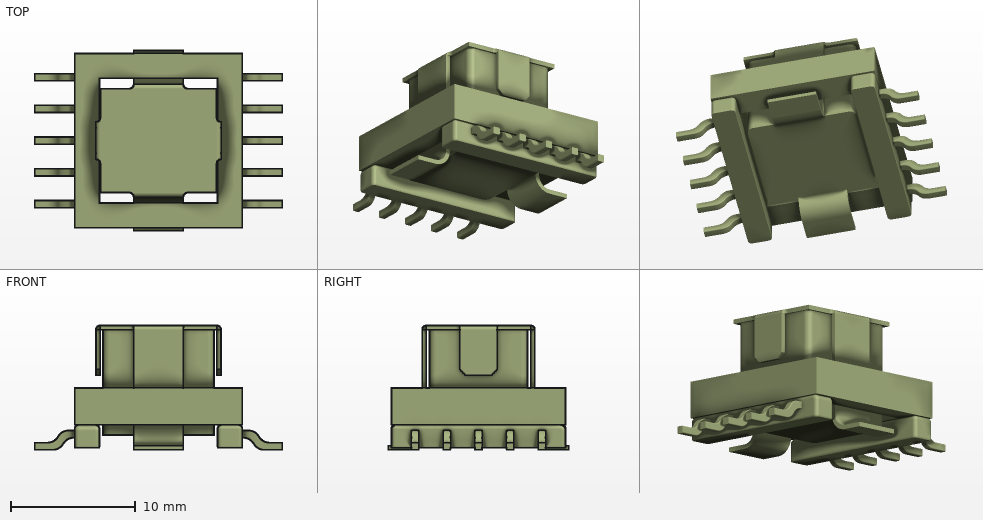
import cadquery as cq
import math

frame_x = 13.5
frame_y = 14.0
frame_wall = 2.0
frame_bottom = 2.0
frame_top = 5.0

rail_width = 2.0
rail_bottom = 0.15
rail_edge_radius = 0.32
rail_end_radius = 0.44

pin_span = 19.9
pin_size = 0.6
pin_edge_radius = 0.08
pin_pitch = 2.55
pins_per_side = 5
pin_foot_length = 1.03
pin_bend_radius = 0.98
pin_bend_angle = math.radians(60)
pin_bend_shift = 0.42

core_x = 8.94
core_y = 7.88
core_bottom = 1.2
core_corner_radius = 0.52

sheet = 0.35
clip_top = 10.0
cap_x = 9.35
cap_y = 8.35
root_radius = 0.35

tab_width = 3.0
tab_bottom = 5.99
tab_chamfer = 0.48

leg_width = 4.0
leg_inner_bend = 1.03
foot_span = 14.5

cap_bottom = clip_top - sheet


def box(x_size, y_size, z_low, z_high):
    """Box centred on the Z axis between two heights."""
    return cq.Workplane("XY").workplane(offset=z_low).rect(x_size, y_size).extrude(z_high - z_low)


def turned(shape, angle):
    return shape.rotate((0, 0, 0), (0, 0, 1), angle)


def make_frame():
    opening = box(frame_x - 2 * frame_wall, frame_y - 2 * frame_wall, frame_bottom, frame_top)
    return box(frame_x, frame_y, frame_bottom, frame_top).cut(opening)


def make_rail():
    """Rail under the -X side of the frame; its flat base cuts through the lower edge rounding."""
    rail = box(rail_width, frame_y, 0, frame_bottom)
    rail = rail.faces(">Z").edges("<Y").fillet(rail_end_radius)
    rail = rail.edges("|Y or |Z or >Y or <Z or %CIRCLE").fillet(rail_edge_radius)
    base = box(rail_width, frame_y, 0, rail_bottom)
    return rail.cut(base).translate(((rail_width - frame_x) / 2, 0, 0))


def make_pin():
    """Gull-wing pin on the +X side, in the plane Y = 0, rooted inside the rail."""
    bend_run = pin_bend_radius * math.sin(pin_bend_angle)
    bend_drop = pin_bend_radius * (1 - math.cos(pin_bend_angle))
    root_x = (frame_x - rail_width) / 2
    tip_x = pin_span / 2
    bend_end = tip_x - pin_foot_length
    bend_middle = bend_end - bend_run
    bend_start = bend_middle - bend_run
    root_z = 2 * bend_drop
    pin = (
        cq.Workplane("XZ")
        .moveTo(root_x, root_z + pin_size)
        .lineTo(bend_start, root_z + pin_size)
        .radiusArc((bend_middle, bend_drop + pin_size), pin_bend_radius)
        .radiusArc((bend_end, pin_size), -pin_bend_radius)
        .lineTo(tip_x, pin_size)
        .lineTo(tip_x, 0)
        .lineTo(bend_end - pin_bend_shift, 0)
        .radiusArc((bend_middle - pin_bend_shift, bend_drop), pin_bend_radius)
        .radiusArc((bend_start - pin_bend_shift, root_z), -pin_bend_radius)
        .lineTo(root_x, root_z)
        .close()
        .extrude(pin_size / 2, both=True)
    )
    return pin.faces("<Y or >Y").edges("not |Z").fillet(pin_edge_radius)


def make_bobbin():
    bobbin = make_frame()
    pin = make_pin()
    for half_turn in (0, 180):
        bobbin = bobbin.union(turned(make_rail(), half_turn))
        side_pin = turned(pin, half_turn)
        for index in range(pins_per_side):
            y = (index - (pins_per_side - 1) / 2) * pin_pitch
            bobbin = bobbin.union(side_pin.translate((0, y, 0)))
    return bobbin


def make_core():
    core = box(core_x, core_y, core_bottom, cap_bottom)
    return core.edges("|Z").fillet(core_corner_radius)


def strip(profile, width):
    """Extrude a profile drawn in XZ symmetrically along Y."""
    return profile.extrude(width / 2, both=True)


def make_bend(width, edge):
    """Rounded bend from the cap edge at X = edge, flared where it joins the cap."""
    half = width / 2
    flare = half + root_radius
    profile = (
        cq.Workplane("XZ")
        .moveTo(edge, cap_bottom)
        .lineTo(edge + sheet, cap_bottom)
        .radiusArc((edge, clip_top), -sheet)
        .close()
    )
    outline = (
        cq.Workplane("XY")
        .workplane(offset=cap_bottom)
        .moveTo(edge, -flare)
        .radiusArc((edge + root_radius, -half), root_radius)
        .lineTo(edge + root_radius, half)
        .radiusArc((edge, flare), root_radius)
        .close()
        .extrude(sheet)
    )
    return strip(profile, 2 * flare).intersect(outline)


def make_tab():
    """Short tab with clipped corners, hanging on the +X side."""
    edge = cap_x / 2
    tab = (
        cq.Workplane("XY")
        .box(sheet, tab_width, cap_bottom - tab_bottom, centered=(False, True, False))
        .translate((edge, 0, tab_bottom))
        .faces("<Z")
        .edges("|X")
        .chamfer(tab_chamfer)
    )
    return tab.union(make_bend(tab_width, edge))


def make_leg():
    """Long leg with an outward foot, drawn on the +X side."""
    edge = cap_y / 2
    face = edge + sheet
    outer_bend = leg_inner_bend + sheet
    profile = (
        cq.Workplane("XZ")
        .moveTo(edge, cap_bottom)
        .lineTo(face, cap_bottom)
        .lineTo(face, outer_bend)
        .radiusArc((face + leg_inner_bend, sheet), -leg_inner_bend)
        .lineTo(foot_span / 2, sheet)
        .lineTo(foot_span / 2, 0)
        .lineTo(edge + outer_bend, 0)
        .radiusArc((edge, outer_bend), outer_bend)
        .close()
    )
    return strip(profile, leg_width).union(make_bend(leg_width, edge))


def make_clip():
    clip = box(cap_x, cap_y, cap_bottom, clip_top)
    for half_turn in (0, 180):
        clip = clip.union(turned(make_tab(), half_turn))
        clip = clip.union(turned(make_leg(), 90 + half_turn))
    return clip


bobbin = make_bobbin()
core = make_core()
clip = make_clip()

result = cq.Compound.makeCompound([bobbin.solids().val(), core.solids().val(), clip.solids().val()])